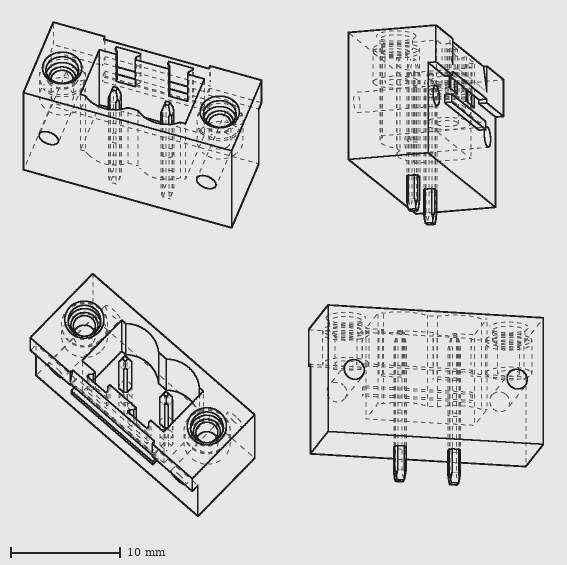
import cadquery as cq


pitch = 5.08
pin_xs = [-pitch / 2, pitch / 2]
screw_xs = [-pitch * 3 / 2, pitch * 3 / 2]

width = 20.15
height = 12.04
front_y = -3.8
rear_y = 3.87
head_rear_y = 4.64
head_height = 3.49
head_bottom_z = height - head_height

middle_width = 2 * pitch

bevel_depth = 0.32
bevel_drop = 2.44

head_recess_height = 0.36

rib_reach = 0.67
rib_height = 0.77
rib_bottom_z = 6.03

cavity_rear_y = 3.06
cavity_front_y = -2.28
cavity_floor_z = 3.43
scallop_radius = 3.06

slot_floor_z = 7.82
slot_neck_width = 1.81
slot_wide_width = 2.35
slot_neck_end_y = 3.35
slot_wide_start_y = 3.63

cross_hole_diameter = 1.87
cross_hole_z = 6.05

socket_radius = 1.5
socket_chamfer = 0.3
socket_floor_z = 7.66
insert_pocket_radius = 2.12
insert_pocket_top_z = 10.83
insert_top_z = 10.5
insert_bore_radius = 1.0
insert_chamfer = 0.22

pin_width = 1.05
pin_corner = 0.22
pin_top_z = 11.09
pin_bottom_z = -3.17
top_tip_width = 0.38
top_tip_length = 1.37
bottom_tip_width = 0.69
bottom_tip_length = 0.95


def box_between(x_size, y_min, y_max, z_min, z_max):
    """Box centred on X between the given Y and Z limits."""
    return (
        cq.Workplane("XY", origin=(0, y_min, z_min))
        .box(x_size, y_max - y_min, z_max - z_min, centered=(True, False, False))
    )


def head_bevel():
    corner = (head_rear_y, height)
    top_end = (head_rear_y - bevel_depth, height)
    rear_end = (head_rear_y, height - bevel_drop)
    return (
        cq.Workplane("YZ")
        .polyline([corner, top_end, rear_end])
        .close()
        .extrude(middle_width / 2, both=True)
    )


def rear_rib():
    rib_top_z = rib_bottom_z + rib_height
    return box_between(middle_width, rear_y, rear_y + rib_reach, rib_bottom_z, rib_top_z)


def head_recess():
    head_recess_top_z = head_bottom_z + head_recess_height
    return box_between(middle_width, rear_y, head_rear_y, head_bottom_z, head_recess_top_z)


def cavity():
    pocket = box_between(middle_width, cavity_front_y, cavity_rear_y, cavity_floor_z, height)
    front_half = box_between(middle_width, front_y, 0, cavity_floor_z, height)
    for x in pin_xs:
        scallop = (
            cq.Workplane("XY", origin=(x, 0, cavity_floor_z))
            .circle(scallop_radius)
            .extrude(height - cavity_floor_z)
        )
        pocket = pocket.union(scallop.intersect(front_half))
    return pocket


def coding_slot(x):
    """Keyhole slot, narrow at the cavity and wide at the rear, that opens below the head."""
    half_neck = slot_neck_width / 2
    half_wide = slot_wide_width / 2
    return (
        cq.Workplane("XY", origin=(x, 0, slot_floor_z))
        .polyline(
            [
                (-half_neck, cavity_rear_y),
                (-half_neck, slot_neck_end_y),
                (-half_wide, slot_wide_start_y),
                (-half_wide, rear_y),
                (half_wide, rear_y),
                (half_wide, slot_wide_start_y),
                (half_neck, slot_neck_end_y),
                (half_neck, cavity_rear_y),
            ]
        )
        .close()
        .extrude(height - slot_floor_z)
    )


def screw_socket(x):
    mouth_radius = socket_radius + socket_chamfer
    return (
        cq.Workplane("XZ", origin=(x, 0, 0))
        .moveTo(0, socket_floor_z)
        .lineTo(insert_pocket_radius, socket_floor_z)
        .lineTo(insert_pocket_radius, insert_pocket_top_z)
        .lineTo(socket_radius, insert_pocket_top_z)
        .lineTo(socket_radius, height - socket_chamfer)
        .lineTo(mouth_radius, height)
        .lineTo(0, height)
        .close()
        .revolve(360, (0, 0, 0), (0, 1, 0))
    )


def make_insert(x):
    return (
        cq.Workplane("XY", origin=(x, 0, socket_floor_z))
        .circle(insert_pocket_radius)
        .circle(insert_bore_radius)
        .extrude(insert_top_z - socket_floor_z)
        .faces(">Z")
        .edges(cq.selectors.RadiusNthSelector(0))
        .chamfer(insert_chamfer)
    )


def pin_bar(x):
    """Full-length square bar with chamfered long edges, before its ends are tapered."""
    return (
        cq.Workplane("XY", origin=(x, 0, pin_bottom_z))
        .rect(pin_width, pin_width)
        .extrude(pin_top_z - pin_bottom_z)
        .edges("|Z")
        .chamfer(pin_corner)
    )


def taper_envelope(x, tip_z, tip_width, shoulder_z):
    return (
        cq.Workplane("XY", origin=(x, 0, tip_z))
        .rect(tip_width, tip_width)
        .workplane(offset=shoulder_z - tip_z)
        .rect(pin_width, pin_width)
        .loft(ruled=True)
    )


def make_pin(x):
    top_shoulder_z = pin_top_z - top_tip_length
    bottom_shoulder_z = pin_bottom_z + bottom_tip_length
    shank = box_between(pin_width, -pin_width / 2, pin_width / 2, bottom_shoulder_z, top_shoulder_z)
    envelope = (
        shank.translate((x, 0, 0))
        .union(taper_envelope(x, pin_top_z, top_tip_width, top_shoulder_z))
        .union(taper_envelope(x, pin_bottom_z, bottom_tip_width, bottom_shoulder_z))
    )
    return pin_bar(x).intersect(envelope)


def cross_holes():
    return (
        cq.Workplane("XZ", origin=(0, head_rear_y, 0))
        .pushPoints([(x, cross_hole_z) for x in screw_xs])
        .circle(cross_hole_diameter / 2)
        .extrude(head_rear_y - front_y)
    )


def make_housing():
    body = (
        box_between(width, front_y, rear_y, 0, height)
        .union(box_between(width, rear_y, head_rear_y, head_bottom_z, height))
        .union(rear_rib())
        .cut(head_bevel())
        .cut(head_recess())
        .cut(cavity())
    )
    for x in pin_xs:
        body = body.cut(coding_slot(x)).cut(pin_bar(x))
    for x in screw_xs:
        body = body.cut(screw_socket(x))
    return body.cut(cross_holes())


housing = make_housing()
pins = [make_pin(x) for x in pin_xs]
inserts = [make_insert(x) for x in screw_xs]

result = cq.Compound.makeCompound(
    [housing.val(), *[pin.val() for pin in pins], *[insert.val() for insert in inserts]]
)